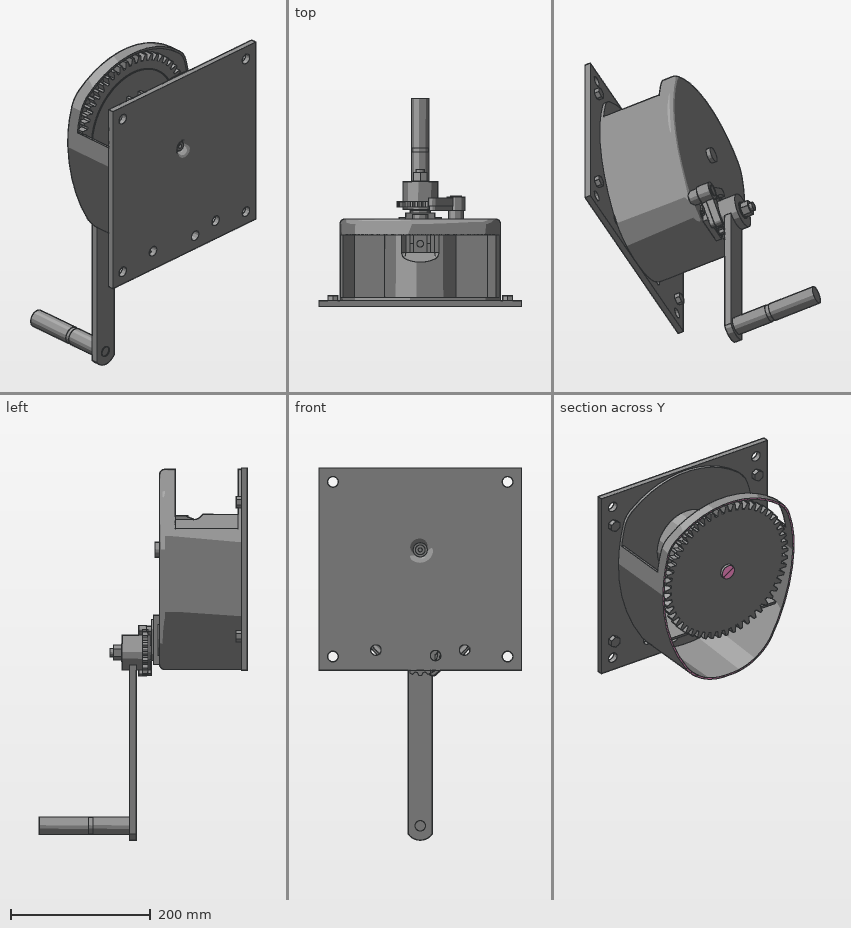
import cadquery as cq
import math


plate_size = 290.0
plate_thickness = 8.5
plate_top = 117.0
plate_center_z = plate_top - plate_size / 2
mount_hole_pitch = 250.0
mount_hole_diameter = 15.0
drain_hole_x = 63.5
drain_hole_z = -143.5
drain_hole_diameter = 15.0
service_hole_x = 22.0
service_hole_z = -151.5
stud_recess_diameter = 38.0
stud_recess_floor_diameter = 20.0
stud_diameter = 14.0
stud_bore_diameter = 6.0
plate_bolt_pitch_z = 192.0
plate_bolt_corners = 16.5
plate_bolt_height = 7.5

housing_half_width = 115.0
housing_top = 115.5
housing_bottom = -171.5
shoulder_x = 106.5
shoulder_z = 62.5
crown_x = 91.5
crown_z = 83.5
bottom_flat_half_width = 6.0
bottom_corner_radius = 83.0
bottom_corner_end_z = -135.5
housing_front = 126.0
housing_round = 8.0
wall = 3.0
back_wall_end = 13.5
opening_end = 103.0
opening_bottom = 30.5
floor_z = -87.5

tooth_tip_share = 0.28
tooth_root_share = 0.72

drum_diameter = 102.0
gear_teeth = 52
gear_tip_radius = 106.5
gear_root_radius = 97.0
gear_front = 114.5
rim_groove_radius = 84.0
rim_groove_width = 1.0
axle_head_diameter = 22.0
axle_head_height = 6.5

pocket_floor_width = 41.0
pocket_floor = 37.5
pocket_floor_start = 77.5
pocket_wall_angle = 45
clamp_width = 29.0
clamp_slot_width = 19.0
clamp_slot_depth = 6.5
clamp_low = 44.0
clamp_top = 49.0
clamp_bolt_diameter = 9.5
clamp_bolt_y = 90.0

crank_z = -147.0
boss_z = -129.0
boss_base_diameter = 61.0
boss_base_end = 128.0
boss_width = 41.5
boss_length = 71.0
boss_end = 134.5
boss_step_width = 29.0
boss_step_length = 59.0
boss_step_end = 137.5

post_x = 51.0
pawl_z = -144.5
post_diameter = 22.0
pawl_start = 137.5
pawl_split = 144.5
pawl_end = 155.5
pawl_tip_x = 18.0
pawl_tip_drop = 30.0
pawl_lower_width = 10.5
pawl_upper_width = 13.0
pivot_diameter = 26.0
pivot_end = 156.5
pivot_cap_diameter = 16.0
pivot_cap_height = 1.5

shaft_diameter = 20.0
collar_diameter = 50.0
collar_start = 139.0
ratchet_start = 142.5
ratchet_end = 150.5
ratchet_teeth = 16
ratchet_tip_radius = 33.0
ratchet_root_radius = 29.0
hub_end = 179.0
washer_diameter = 25.0
washer_height = 1.0
nut_corners = 22.0
nut_end = 192.0
crank_end_diameter = 12.0
crank_end = 196.5
arm_width = 34.5
arm_start = 159.0
arm_thickness = 10.0
arm_end_radius = 21.0
grip_z = -395.0
grip_diameter = 25.5
grip_end = 298.0
grip_groove_start = 221.0
grip_groove_width = 6.0
grip_groove_depth = 0.5
grip_pin_diameter = 15.0
grip_pin_depth = 1.5


def section(y):
    """Sketch plane facing -Y at depth y, with X to the right and Z up."""
    return cq.Workplane("XZ", origin=(0, y, 0))


def disc(x, z, diameter, start, end):
    return section(start).center(x, z).circle(diameter / 2).extrude(start - end)


def hex_head(x, z, corners, start, end):
    """Hexagonal prism with two of its corners above and below the centre."""
    sketch = section(start).center(x, z).transformed(rotate=(0, 0, 90))
    return sketch.polygon(6, corners).extrude(start - end)


def toothed_disc(z, tip_radius, root_radius, teeth, start, end):
    tooth_profile = [
        (-tooth_root_share / 2, root_radius),
        (-tooth_tip_share / 2, tip_radius),
        (tooth_tip_share / 2, tip_radius),
        (tooth_root_share / 2, root_radius),
    ]
    points = []
    for tooth in range(teeth):
        for step, radius in tooth_profile:
            angle = 2 * math.pi * (tooth + step) / teeth
            points.append((radius * math.cos(angle), radius * math.sin(angle)))
    return section(start).center(0, z).polyline(points).close().extrude(start - end)


def housing_block(inset, start, end, edge_round):
    """Solid with the housing outline, inset by a wall and rounded at its far end."""
    corner_center_z = housing_bottom + bottom_corner_radius
    end_angle = math.asin((bottom_corner_end_z - corner_center_z) / bottom_corner_radius)
    middle_angle = (end_angle - math.pi / 2) / 2

    def corner_point(angle, side):
        x = bottom_flat_half_width + bottom_corner_radius * math.cos(angle)
        return side * x, corner_center_z + bottom_corner_radius * math.sin(angle)

    outline = (
        section(start)
        .moveTo(-bottom_flat_half_width, housing_bottom)
        .lineTo(bottom_flat_half_width, housing_bottom)
        .threePointArc(corner_point(middle_angle, 1), corner_point(end_angle, 1))
        .tangentArcPoint((housing_half_width, 0), relative=False)
        .tangentArcPoint((shoulder_x, shoulder_z), relative=False)
        .tangentArcPoint((crown_x, crown_z), relative=False)
        .threePointArc((0, housing_top), (-crown_x, crown_z))
        .tangentArcPoint((-shoulder_x, shoulder_z), relative=False)
        .tangentArcPoint((-housing_half_width, 0), relative=False)
        .tangentArcPoint(corner_point(end_angle, -1), relative=False)
        .threePointArc(corner_point(middle_angle, -1), (-bottom_flat_half_width, housing_bottom))
        .close()
    )
    if inset:
        outline = outline.offset2D(-inset)
    return outline.extrude(start - end).faces(">Y").edges().fillet(edge_round)


def make_plate():
    plate = section(0).center(0, plate_center_z).rect(plate_size, plate_size).extrude(-plate_thickness)
    for side in (-1, 1):
        for end in (-1, 1):
            x = side * mount_hole_pitch / 2
            hole_z = plate_center_z + end * mount_hole_pitch / 2
            plate = plate.cut(disc(x, hole_z, mount_hole_diameter, 0, plate_thickness))
            bolt_z = plate_center_z + end * plate_bolt_pitch_z / 2
            head_end = plate_thickness + plate_bolt_height
            plate = plate.union(hex_head(x, bolt_z, plate_bolt_corners, plate_thickness, head_end))
    return plate


def make_housing():
    housing = housing_block(0, plate_thickness, housing_front, housing_round)
    housing = housing.cut(housing_block(wall, back_wall_end, housing_front - wall, housing_round - wall))
    opening_depth = opening_end - back_wall_end
    opening = section(back_wall_end).center(0, opening_bottom + plate_size / 2)
    housing = housing.cut(opening.rect(plate_size, plate_size).extrude(-opening_depth))
    floor = section(back_wall_end).center(0, floor_z - wall / 2).rect(plate_size, wall)
    floor = floor.extrude(-opening_depth)
    return housing.union(floor.intersect(housing_block(0, plate_thickness, housing_front, housing_round)))


def make_drum():
    drum = disc(0, 0, drum_diameter, back_wall_end, opening_end)
    pocket_length = opening_end - pocket_floor_start
    pocket_middle = pocket_floor_start + pocket_length / 2
    pocket = cq.Workplane("XY", origin=(0, pocket_middle, pocket_floor))
    pocket = pocket.rect(pocket_floor_width, pocket_length)
    drum = drum.cut(pocket.extrude(drum_diameter / 2 - pocket_floor, taper=-pocket_wall_angle))
    clamp_profile = [
        (pocket_floor_start, pocket_floor),
        (pocket_floor_start, clamp_low),
        (clamp_bolt_y, clamp_top),
        (opening_end, clamp_top),
        (opening_end, pocket_floor),
    ]
    clamp = cq.Workplane("YZ").polyline(clamp_profile).close().extrude(clamp_width / 2, both=True)
    slot_bottom = clamp_top - clamp_slot_depth
    clamp_slot = cq.Workplane("XY", origin=(0, pocket_middle, slot_bottom))
    drum = drum.union(clamp).cut(clamp_slot.rect(clamp_slot_width, pocket_length).extrude(clamp_top))
    bolt = cq.Workplane("XY", origin=(0, clamp_bolt_y, slot_bottom)).circle(clamp_bolt_diameter / 2)
    drum = drum.union(bolt.extrude(clamp_slot_depth))

    gear = toothed_disc(0, gear_tip_radius, gear_root_radius, gear_teeth, opening_end, gear_front)
    groove = section(opening_end).circle(rim_groove_radius).circle(rim_groove_radius - rim_groove_width)
    gear = gear.cut(groove.extrude(-rim_groove_width))
    axle = disc(0, 0, axle_head_diameter, gear_front, housing_front + axle_head_height)
    return drum.union(gear).union(axle)


def make_boss():
    """Round pad, rectangular block and narrower slot-shaped step around the crank shaft."""
    boss = disc(0, boss_z, boss_base_diameter, housing_front, boss_base_end)
    block = section(housing_front).center(0, boss_z).rect(boss_width, boss_length)
    boss = boss.union(block.extrude(housing_front - boss_end))
    step = section(boss_end).center(0, boss_z).slot2D(boss_step_length, boss_step_width, 90)
    return boss.union(step.extrude(boss_end - boss_step_end))


def make_pawl():
    """Two arms that reach from the pivot above and below the ratchet."""
    pawl = disc(post_x, pawl_z, post_diameter, housing_front - wall, pawl_start)
    for side in (-1, 1):
        reach = post_x - pawl_tip_x
        angle = math.degrees(math.atan2(side * pawl_tip_drop, reach))
        length = math.hypot(reach, pawl_tip_drop)
        middle = ((post_x + pawl_tip_x) / 2, pawl_z - side * pawl_tip_drop / 2)
        for width, start, end in (
            (pawl_lower_width, pawl_start, pawl_split),
            (pawl_upper_width, pawl_split, pawl_end),
        ):
            arm = section(start).center(*middle).slot2D(length + width, width, angle)
            pawl = pawl.union(arm.extrude(start - end))
    pawl = pawl.union(disc(post_x, pawl_z, pivot_diameter, pawl_start, pivot_end))
    pawl = pawl.union(disc(post_x, pawl_z, pivot_cap_diameter, pivot_end, pivot_end + pivot_cap_height))
    ratchet_clearance = disc(0, crank_z, 2 * ratchet_tip_radius, pawl_start, pivot_end)
    return pawl.cut(ratchet_clearance)


def make_winch():
    winch = make_plate()
    for part in (make_housing(), make_drum(), make_boss(), make_pawl()):
        winch = winch.union(part)
    winch = winch.cut(disc(0, crank_z, shaft_diameter, back_wall_end, boss_step_end))

    interior = housing_block(wall, 0, housing_front, housing_round - wall)
    for side in (-1, 1):
        x = side * drain_hole_x
        winch = winch.cut(disc(x, drain_hole_z, drain_hole_diameter, 0, plate_thickness))
        back_hole = disc(x, drain_hole_z, drain_hole_diameter, plate_thickness, back_wall_end)
        winch = winch.cut(back_hole.intersect(interior))
    winch = winch.cut(disc(service_hole_x, service_hole_z, mount_hole_diameter, 0, housing_front))

    winch = winch.cut(disc(0, 0, stud_recess_floor_diameter, 0, back_wall_end))
    rim = cq.selectors.BoxSelector(
        (-stud_recess_diameter / 2, -wall, -stud_recess_diameter / 2),
        (stud_recess_diameter / 2, wall, stud_recess_diameter / 2),
    )
    rim_round = (stud_recess_diameter - stud_recess_floor_diameter) / 2
    winch = winch.edges("%CIRCLE").edges(rim).fillet(rim_round)
    stud = disc(0, 0, stud_diameter, plate_thickness, back_wall_end)
    return winch.union(stud.cut(disc(0, 0, stud_bore_diameter, plate_thickness, back_wall_end)))


def make_crank():
    crank = disc(0, crank_z, shaft_diameter, housing_front - wall, collar_start)
    crank = crank.union(disc(0, crank_z, collar_diameter, collar_start, hub_end))
    ratchet = toothed_disc(
        crank_z, ratchet_tip_radius, ratchet_root_radius, ratchet_teeth, ratchet_start, ratchet_end
    )
    crank = crank.union(ratchet)
    crank = crank.union(disc(0, crank_z, washer_diameter, hub_end, hub_end + washer_height))
    crank = crank.union(hex_head(0, crank_z, nut_corners, hub_end + washer_height, nut_end))
    crank = crank.union(disc(0, crank_z, crank_end_diameter, nut_end, crank_end))

    arm_end = arm_start + arm_thickness
    arm_length = crank_z - grip_z
    arm = section(arm_start).center(0, (crank_z + grip_z - arm_end_radius) / 2)
    arm = arm.rect(arm_width, arm_length + arm_end_radius).extrude(-arm_thickness)
    rounding = section(arm_start).center(0, grip_z + arm_length).rect(arm_width, 2 * arm_length)
    rounding = rounding.extrude(-arm_thickness).union(disc(0, grip_z, 2 * arm_end_radius, arm_start, arm_end))
    crank = crank.union(arm.intersect(rounding))

    grip = disc(0, grip_z, grip_diameter, arm_end, grip_end)
    groove_end = grip_groove_start + grip_groove_width
    groove = disc(0, grip_z, grip_diameter, grip_groove_start, groove_end)
    groove = groove.cut(disc(0, grip_z, grip_diameter - 2 * grip_groove_depth, grip_groove_start, groove_end))
    crank = crank.union(grip.cut(groove))
    return crank.cut(disc(0, grip_z, grip_pin_diameter, arm_start, arm_start + grip_pin_depth))


winch = make_winch()
crank = make_crank()

result = cq.Compound.makeCompound([winch.solids().val(), crank.solids().val()])